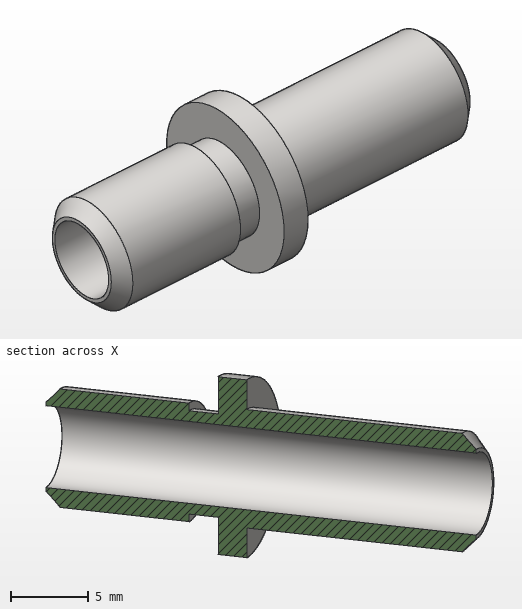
import cadquery as cq

total_length = 30.0
flange_diameter = 12.0
shaft_diameter = 8.0
neck_diameter = 7.0
bore_diameter = 5.5
end_chamfer = 1.0
front_shaft_length = 10.0
neck_length = 2.0
flange_thickness = 2.0

neck_start = front_shaft_length
flange_start = neck_start + neck_length
rear_shaft_start = flange_start + flange_thickness
rear_shaft_length = total_length - rear_shaft_start


def cylinder(diameter, start, length):
    """Solid cylinder along +Y beginning at the given Y position."""
    plane = cq.Plane(origin=(0, start, 0), xDir=(1, 0, 0), normal=(0, 1, 0))
    return cq.Workplane(plane).circle(diameter / 2).extrude(length)


front_shaft = cylinder(shaft_diameter, 0, front_shaft_length).faces("<Y").chamfer(end_chamfer)
rear_shaft = cylinder(shaft_diameter, rear_shaft_start, rear_shaft_length).faces(">Y").chamfer(end_chamfer)

neck = cylinder(neck_diameter, neck_start, neck_length)
flange = cylinder(flange_diameter, flange_start, flange_thickness)

bore = cylinder(bore_diameter, 0, total_length)

result = front_shaft.union(neck).union(flange).union(rear_shaft).cut(bore)